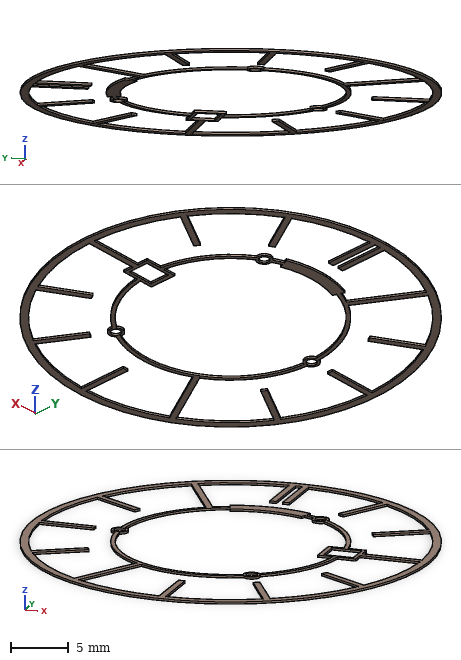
import cadquery as cq
import math

thickness = 0.2

outer_diameter = 36.5
rim_width = 0.75
rim_outer_radius = outer_diameter / 2
rim_inner_radius = rim_outer_radius - rim_width

track_radius = 10.2
track_width = 0.4

marker_width = 0.6
marker_length = 5.0
marker_tip_radius = rim_inner_radius - marker_length
marker_root_radius = rim_inner_radius + rim_width / 2
short_marker_angles = (30, 60, 150, 180, 210, 270, 300, 330)
long_marker_angles = (120, 240)
twelve_angle = 90
twelve_marker_offset = 0.6

eyelet_hole_diameter = 1.0
eyelet_outer_diameter = 1.5
eyelet_angles = (60, 180, 300)

block_width = 1.2
block_half_angle = 20

frame_left = 8.5
frame_right = 12.0
frame_height = 2.8
frame_wall = 0.35
frame_left_wall = 0.45


def disc(radius):
    return cq.Workplane("XY").circle(radius).extrude(thickness)


def ring(outer_radius, inner_radius):
    return disc(outer_radius).cut(disc(inner_radius))


def box(x_start, x_end, height):
    """Plate rectangle between two X positions, centred on the X axis."""
    return (
        cq.Workplane("XY")
        .center((x_start + x_end) / 2, 0)
        .rect(x_end - x_start, height)
        .extrude(thickness)
    )


def polar(radius, angle):
    return (radius * math.cos(math.radians(angle)), radius * math.sin(math.radians(angle)))


def marker(inner_radius, angle, side_offset=0):
    """Straight bar rooted in the rim, pointing at the centre or parallel to that direction."""
    bar = box(inner_radius, marker_root_radius, marker_width)
    return bar.translate((0, side_offset, 0)).rotate((0, 0, 0), (0, 0, 1), angle)


def arc_block():
    inner_radius = track_radius - block_width / 2
    outer_radius = track_radius + block_width / 2
    start_angle = twelve_angle + block_half_angle
    end_angle = twelve_angle - block_half_angle
    return (
        cq.Workplane("XY")
        .moveTo(*polar(outer_radius, start_angle))
        .threePointArc(polar(outer_radius, twelve_angle), polar(outer_radius, end_angle))
        .lineTo(*polar(inner_radius, end_angle))
        .threePointArc(polar(inner_radius, twelve_angle), polar(inner_radius, start_angle))
        .close()
        .extrude(thickness)
    )


rim = ring(rim_outer_radius, rim_inner_radius)
track = ring(track_radius + track_width / 2, track_radius - track_width / 2)
result = track.union(arc_block())

result = result.union(box(frame_left, frame_right, frame_height))
window = box(frame_left + frame_left_wall, frame_right - frame_wall, frame_height - 2 * frame_wall)
result = result.cut(window)

for angle in eyelet_angles:
    eyelet_x, eyelet_y = polar(track_radius, angle)
    result = result.union(disc(eyelet_outer_diameter / 2).translate((eyelet_x, eyelet_y, 0)))
    result = result.cut(disc(eyelet_hole_diameter / 2).translate((eyelet_x, eyelet_y, 0)))

result = result.union(rim)
for angle in short_marker_angles:
    result = result.union(marker(marker_tip_radius, angle))
for angle in long_marker_angles:
    result = result.union(marker(track_radius, angle))
for side in (-1, 1):
    result = result.union(marker(marker_tip_radius, twelve_angle, side * twelve_marker_offset))
result = result.union(marker(frame_right - frame_wall / 2, 0))